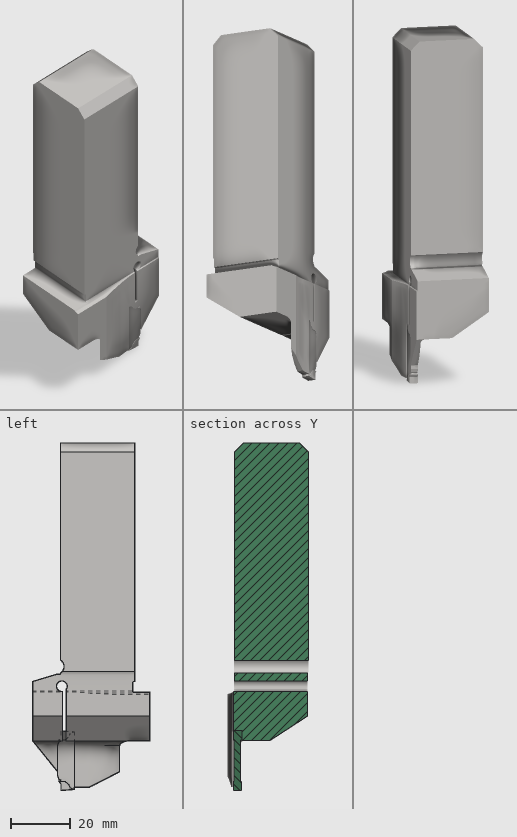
import cadquery as cq
import math


shank_width = 25.0
tool_length = 116.8
shank_chamfer = 3.0

head_front = -5.0
head_back = 34.3
head_left = 0.4
head_right = 27.2
head_bottom = 16.7
shelf_back_top = 36.7
shelf_front = 26.2
shelf_front_top = 39.1
bevel_bottom_x = 13.1
bevel_top_z = 25.0
shoulder_top = 33.4
shoulder_break = (25.9, 32.7)
shoulder_bottom = 32.4
flank_step_top = 40.0
flank_step_run = 1.0

relief_top = 43.8
relief_deepest = (23.8, 41.7)

lip_top = 33.0
groove_top = 36.8
groove_depth = 0.7
groove_fillet = 0.4

blade_bottom = 1.0
blade_tangent_y = 24.2
blade_left = 22.8
blade_left_radius = 43.2
blade_right = 25.3
blade_right_radius = 68.9
blade_root_fillet = 1.6
blade_front = 4.9
blade_corner_y = 15.4
blade_corner_z = 6.4
blade_jaw_z = 6.4
blade_jaw_bend = (30.4, 11.8)

insert_front = 20.3
insert_back = 26.0
insert_length = 20.1
insert_middle_x = 24.0
insert_body_width = 2.3
insert_tip_width = 2.8
tip_back = 24.9
tip_clearance = 0.4
rake_top_z = 2.2
chip_breaker_ridge = (25.6, 3.2)
chip_breaker_bottom_z = 3.5
chip_breaker_top = (25.6, 3.9)
body_back_start_z = 5.1
tip_inner_boundary = [(23.4, 3.0), (22.2, 2.0), (21.7, 0.9)]

slit_middle_y = 23.7
slit_width = 1.2
slit_hole_y = 24.5
slit_hole_z = 35.0
slit_hole_radius = 1.8


def side_solid(outline, x_start, x_end):
    """Extrude a (Y, Z) outline from x_start to x_end."""
    return cq.Workplane("YZ", origin=(x_start, 0, 0)).polyline(outline).close().extrude(x_end - x_start)


def make_shank():
    shank = cq.Workplane("XY").box(
        shank_width, shank_width, tool_length - shelf_back_top, centered=False
    ).translate((0, 0, shelf_back_top))
    return shank.edges("|Y and >Z").chamfer(shank_chamfer)


def make_relief_cutter():
    """Cylinder-backed notch that separates the back of the shank from the shelf."""
    return (
        cq.Workplane("YZ")
        .moveTo(shank_width, relief_top)
        .threePointArc(relief_deepest, (shelf_front, shelf_front_top))
        .lineTo(shelf_front, relief_top)
        .close()
        .extrude(shank_width)
    )


def make_flank_cutter():
    """Shallow step on the left face, running out upwards in an arc."""
    depth = head_left
    run = flank_step_run
    radius = (run**2 + depth**2) / (2 * depth)
    return (
        cq.Workplane("XZ", origin=(0, head_back, 0))
        .moveTo(0, head_bottom)
        .lineTo(depth, head_bottom)
        .lineTo(depth, flank_step_top - run)
        .radiusArc((0, flank_step_top), -radius)
        .close()
        .extrude(head_back - head_front)
    )


def make_plan_block(height):
    """Head outline in plan, with the right face bulging along an arc towards the front."""
    sag = head_right - blade_right
    curve_length = math.sqrt(blade_right_radius**2 - (blade_right_radius - sag) ** 2)
    return (
        cq.Workplane("XY")
        .moveTo(0, head_front)
        .lineTo(head_right, head_front)
        .lineTo(head_right, blade_tangent_y - curve_length)
        .radiusArc((blade_right, blade_tangent_y), blade_right_radius)
        .lineTo(blade_right, head_back)
        .lineTo(0, head_back)
        .close()
        .extrude(height)
    )


def make_head():
    front = (
        cq.Workplane("XZ", origin=(0, head_back, 0))
        .polyline([
            (bevel_bottom_x, head_bottom),
            (head_right, head_bottom),
            (head_right, shoulder_bottom),
            shoulder_break,
            (shank_width, shoulder_top),
            (shank_width, relief_top),
            (0, relief_top),
            (0, bevel_top_z),
            (head_left, bevel_top_z),
        ])
        .close()
        .extrude(head_back - head_front)
    )

    side = side_solid(
        [
            (head_front, head_bottom),
            (head_back, head_bottom),
            (head_back, shelf_back_top),
            (shelf_front, shelf_front_top),
            (0, shelf_front_top),
            (0, groove_top),
            (groove_depth, groove_top - groove_depth / 2),
            (groove_depth, lip_top),
            (head_front, lip_top),
        ],
        0,
        head_right,
    )
    return make_plan_block(tool_length).intersect(front).intersect(side)


def make_blade():
    """Crescent in plan, flared at its root, trimmed at the front corner and along the upper jaw."""
    root_radius = blade_left_radius + blade_root_fillet
    flared_cylinder = (
        cq.Workplane("XZ")
        .lineTo(blade_left_radius, 0)
        .lineTo(blade_left_radius, head_bottom - blade_root_fillet)
        .radiusArc((root_radius, head_bottom), blade_root_fillet)
        .lineTo(0, head_bottom)
        .close()
        .revolve(360, (0, 0), (0, 1))
        .translate((blade_left + blade_left_radius, blade_tangent_y, 0))
    )
    side = side_solid(
        [
            (head_front, head_bottom),
            (blade_front, blade_corner_z),
            (blade_corner_y, blade_bottom),
            (insert_front, blade_bottom),
            (insert_front, blade_jaw_z),
            (insert_back, blade_jaw_z),
            blade_jaw_bend,
            (head_back, head_bottom),
        ],
        0,
        head_right,
    )
    return make_plan_block(head_bottom).intersect(flared_cylinder).intersect(side)


def cutting_edge_outline():
    """(Y, Z) points shared by the tip and the body, from the clearance face to the chip breaker."""
    return [
        (insert_front, tip_clearance),
        (tip_back, 0),
        (tip_back, rake_top_z),
        chip_breaker_ridge,
    ]


def half_body_outline():
    """(Y, Z) outline of the lower half of the insert."""
    return [
        (insert_front, insert_length / 2),
        *cutting_edge_outline(),
        (tip_back, chip_breaker_bottom_z),
        chip_breaker_top,
        (insert_back, body_back_start_z),
        (insert_back, insert_length / 2),
    ]


def with_upper_half(lower_half):
    """Add the mirror image that forms the other end of the insert."""
    return lower_half.union(lower_half.mirror("XY", (0, 0, insert_length / 2)))


def make_seat_cutter():
    """Close-fitting insert seat: across the whole blade, but closed on the left inside the head."""
    seat_left = insert_middle_x - insert_tip_width / 2
    across = with_upper_half(side_solid(half_body_outline(), 0, head_right))
    head_left_part = cq.Workplane("XY").box(
        seat_left, head_back, tool_length, centered=False
    ).translate((0, 0, head_bottom))
    return across.cut(head_left_part)


def make_slit_cutter():
    hole = (
        cq.Workplane("YZ")
        .center(slit_hole_y, slit_hole_z)
        .circle(slit_hole_radius)
        .extrude(head_right)
    )
    slit = cq.Workplane("XY").box(
        head_right, slit_width, slit_hole_z - head_bottom, centered=(False, True, False)
    ).translate((0, slit_middle_y, head_bottom))
    return hole.union(slit)


def make_holder():
    holder = make_shank().union(make_head()).cut(make_relief_cutter()).cut(make_flank_cutter())
    holder = holder.edges(
        cq.selectors.NearestToPointSelector((shank_width / 2, groove_depth, lip_top))
    ).fillet(groove_fillet)
    holder = holder.union(make_blade())
    return holder.cut(make_seat_cutter()).cut(make_slit_cutter())


def make_insert():
    """Narrow body with a wider cutting tip at each end; both ends are alike."""
    body_x = insert_middle_x - insert_body_width / 2
    tip_x = insert_middle_x - insert_tip_width / 2
    body = side_solid(half_body_outline(), body_x, body_x + insert_body_width)
    tip_outline = cutting_edge_outline() + tip_inner_boundary
    tip = side_solid(tip_outline, tip_x, tip_x + insert_tip_width)
    return with_upper_half(body.union(tip))


holder = make_holder()
insert = make_insert()
result = cq.Compound.makeCompound([holder.solids().val(), insert.solids().val()])